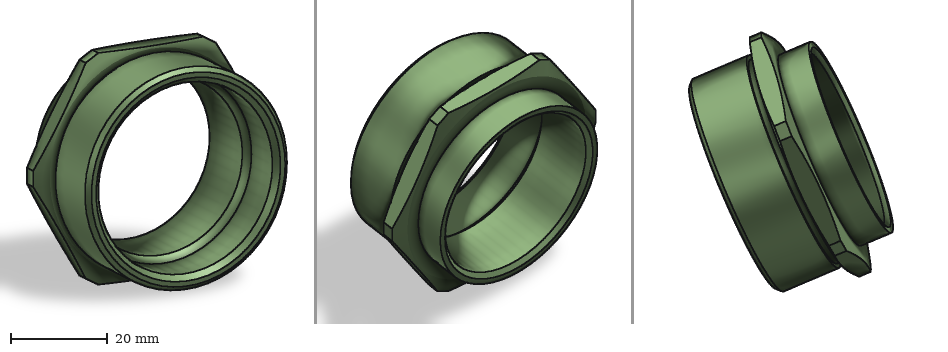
import cadquery as cq
import math

nut_start = 6.95
nut_end = 11.5
thread_start = 13.0
total_length = 26.5

spigot_radius = 21.5
relief_radius = 22.95
thread_radius = 23.95
thread_end_chamfer = 1.0

across_flats = 50.0
across_corner_cuts = 55.75
nut_face_radius = 24.45
nut_chamfer_angle = 15.0

bore_radius = 19.2
mouth_chamfer = 1.0
wide_bore_start = 15.0
wide_bore_radius = 20.6
end_chamfer = 1.2


def cylinder(radius, start, end):
    """Solid cylinder along X between two positions."""
    return cq.Workplane("YZ", origin=(start, 0, 0)).circle(radius).extrude(end - start)


def hexagon_prism(flat_distance, turn):
    """Hexagonal prism as long as the nut; with no turn its corners point along Y."""
    corner_diameter = flat_distance / math.cos(math.pi / 6)
    base = cq.Workplane("YZ", origin=(nut_start, 0, 0)).polygon(6, corner_diameter)
    prism = base.extrude(nut_end - nut_start)
    return prism.rotate((0, 0, 0), (1, 0, 0), turn)


def chamfer_envelope():
    """Body of revolution whose two cones bevel the nut corners."""
    clear_radius = across_flats / math.sqrt(3)
    cone_depth = (clear_radius - nut_face_radius) * math.tan(math.radians(nut_chamfer_angle))
    return (
        cq.Workplane("XY")
        .moveTo(nut_start, 0)
        .lineTo(nut_start, nut_face_radius)
        .lineTo(nut_start + cone_depth, clear_radius)
        .lineTo(nut_end - cone_depth, clear_radius)
        .lineTo(nut_end, nut_face_radius)
        .lineTo(nut_end, 0)
        .close()
        .revolve(360, (0, 0, 0), (1, 0, 0))
    )


def nut():
    """Hexagon with flat-cut corners, bevelled on both faces."""
    flats = hexagon_prism(across_flats, 0)
    corner_cuts = hexagon_prism(across_corner_cuts, 30)
    return flats.intersect(corner_cuts).intersect(chamfer_envelope())


def bore():
    """Through bore, wider behind a 45 degree step and chamfered at both ends."""
    step = wide_bore_radius - bore_radius
    return (
        cq.Workplane("XY")
        .lineTo(0, bore_radius + mouth_chamfer)
        .lineTo(mouth_chamfer, bore_radius)
        .lineTo(wide_bore_start, bore_radius)
        .lineTo(wide_bore_start + step, wide_bore_radius)
        .lineTo(total_length - end_chamfer, wide_bore_radius)
        .lineTo(total_length, wide_bore_radius + end_chamfer)
        .lineTo(total_length, 0)
        .close()
        .revolve(360, (0, 0, 0), (1, 0, 0))
    )


spigot = cylinder(spigot_radius, 0, nut_start)
relief = cylinder(relief_radius, nut_end, thread_start)
thread = cylinder(thread_radius, thread_start, total_length)
thread = thread.faces(">X").chamfer(thread_end_chamfer)

result = spigot.union(nut()).union(relief).union(thread).cut(bore())